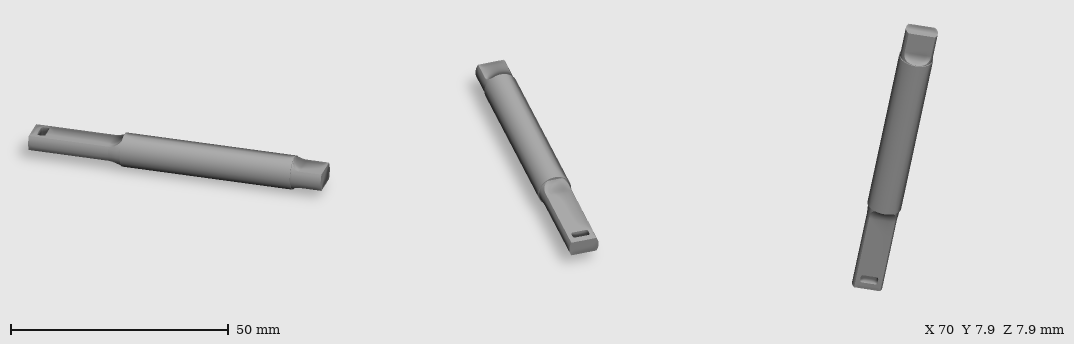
import cadquery as cq

length = 70.0
body_diameter = 7.9
body_start = 22.0
body_end = 62.65

slotted_diameter = 7.1
slotted_thickness = 3.65
slotted_flat_length = 19.05
slotted_blend_radius = 3.65

plain_diameter = 7.5
plain_thickness = 4.2
plain_blend_radius = 2.1
plain_flat_start = body_end + plain_blend_radius

neck_diameter = plain_diameter

slot_start = 1.6
slot_length = 1.95
slot_width = 4.05
slot_corner_radius = 0.5


def turned_shaft():
    """Body with a stepped end on the right and a tapered neck on the left."""
    return (
        cq.Workplane("XY")
        .moveTo(0, 0)
        .lineTo(0, slotted_diameter / 2)
        .lineTo(slotted_flat_length, slotted_diameter / 2)
        .lineTo(body_start, neck_diameter / 2)
        .lineTo(body_start, body_diameter / 2)
        .lineTo(body_end, body_diameter / 2)
        .lineTo(body_end, plain_diameter / 2)
        .lineTo(length, plain_diameter / 2)
        .lineTo(length, 0)
        .close()
        .revolve(360, (0, 0, 0), (1, 0, 0))
    )


def flats_cutter(end_x, flat_x, shoulder_x, thickness, radius):
    """Pair of cutters from the shaft end to a concave blend at the shoulder."""
    half_thickness = thickness / 2
    block_start = min(end_x, shoulder_x)
    block_length = abs(shoulder_x - end_x)
    block = (
        cq.Workplane("XY")
        .box(block_length, body_diameter, body_diameter, centered=(False, True, False))
        .translate((block_start, 0, half_thickness))
    )
    blend_start = min(flat_x, shoulder_x)
    blend_length = abs(shoulder_x - flat_x)
    corner = (
        cq.Workplane("XY")
        .box(blend_length, body_diameter, radius, centered=(False, True, False))
        .translate((blend_start, 0, half_thickness))
    )
    roller = (
        cq.Workplane("XZ", origin=(flat_x, 0, half_thickness + radius))
        .circle(radius)
        .extrude(body_diameter / 2, both=True)
    )
    upper = block.cut(corner.cut(roller))
    return upper.union(upper.mirror("XY"))


def slot_cutter():
    """Round-cornered slot passing through both flats."""
    return (
        cq.Workplane("XY")
        .box(slot_length, slot_width, body_diameter)
        .edges("|Z")
        .fillet(slot_corner_radius)
        .translate((slot_start + slot_length / 2, 0, 0))
    )


slotted_flats = flats_cutter(0, slotted_flat_length, body_start, slotted_thickness, slotted_blend_radius)
plain_flats = flats_cutter(length, plain_flat_start, body_end, plain_thickness, plain_blend_radius)

result = turned_shaft().cut(slotted_flats).cut(plain_flats).cut(slot_cutter())
result = result.translate((-length / 2, 0, 0))